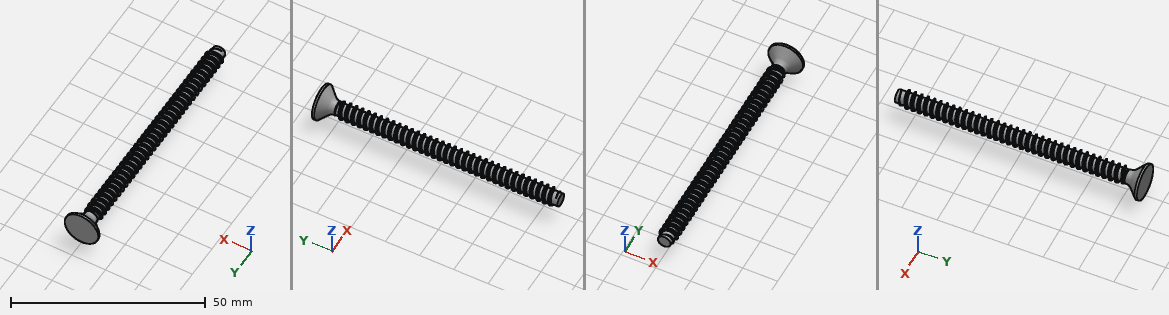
import cadquery as cq
import math

LENGTH = 70.0
HEAD_RADIUS = 10.0 / 2
RIM_HEIGHT = 0.7
COUNTERSINK_ANGLE = math.radians(45)
NECK_RADIUS = 1.95
NECK_FILLET = 1.9
NECK_END = 4.9
STEP_LENGTH = 0.2
CORE_RADIUS = 1.8

PITCH = 63.0 / 35
THREAD_RADIUS = 5.0 / 2
FOOT_WIDTH = 0.9
FOOT_HEIGHT = 0.175
RIDGE_WIDTH = 0.35
CREST_WIDTH = 0.15
ROOT_OVERLAP = 0.1
FULL_TURNS = 34 + 1 / 4
FADE_TURNS = 0.85
THREAD_START = 6.1
START_ANGLE = 90.0
THREAD_DEPTH = THREAD_RADIUS - CORE_RADIUS


def screw_blank():
    """Head, filleted neck and plain core, turned around Z."""
    neck_start = RIM_HEIGHT + (HEAD_RADIUS - NECK_RADIUS) / math.tan(COUNTERSINK_ANGLE)
    outline = (
        cq.Workplane("XZ")
        .lineTo(HEAD_RADIUS, 0)
        .lineTo(HEAD_RADIUS, RIM_HEIGHT)
        .lineTo(NECK_RADIUS, neck_start)
        .lineTo(NECK_RADIUS, NECK_END)
        .lineTo(CORE_RADIUS, NECK_END + STEP_LENGTH)
        .lineTo(CORE_RADIUS, LENGTH)
        .lineTo(0, LENGTH)
        .close()
    )
    blank = outline.revolve(360, (0, 0, 0), (0, 1, 0))
    neck_corner = cq.selectors.NearestToPointSelector((0, 0, neck_start))
    return blank.edges(neck_corner).fillet(NECK_FILLET)


def thread_profile():
    """Thread cross-section in the plane through the axis."""
    foot = CORE_RADIUS + FOOT_HEIGHT
    root = CORE_RADIUS - ROOT_OVERLAP
    root_width = FOOT_WIDTH + (FOOT_WIDTH - RIDGE_WIDTH) * ROOT_OVERLAP / FOOT_HEIGHT
    half_profile = [(root, root_width / 2), (foot, RIDGE_WIDTH / 2), (THREAD_RADIUS, CREST_WIDTH / 2)]
    mirrored = [(radius, -height) for radius, height in reversed(half_profile)]
    return cq.Workplane("XZ").polyline(half_profile + mirrored).close()


def sweep_thread(path):
    return thread_profile().sweep(cq.Workplane(path), isFrenet=True)


def full_thread():
    path = cq.Wire.makeHelix(PITCH, PITCH * FULL_TURNS, CORE_RADIUS)
    return sweep_thread(path)


def fading_end(cone_angle):
    """Thread end whose crest sinks to the core surface along a conical helix."""
    slant = PITCH / math.cos(math.radians(cone_angle))
    path = cq.Wire.makeHelix(slant, slant * FADE_TURNS, CORE_RADIUS, angle=cone_angle)
    return sweep_thread(path)


def twist_and_lift(section, twist, lift):
    return section.rotate((0, 0, 0), (0, 0, 1), twist).translate((0, 0, lift))


def thread_sections():
    """Right-handed thread in three lengths: run-in, full depth, run-out."""
    fade_angle = math.degrees(math.atan2(THREAD_DEPTH, PITCH * FADE_TURNS))
    run_out = fading_end(-fade_angle)
    run_in = run_out.rotate((0, 0, 0), (1, 0, 0), 180)
    run_out = twist_and_lift(run_out, 360 * FULL_TURNS, PITCH * FULL_TURNS)
    sections = [run_in, full_thread(), run_out]
    return [twist_and_lift(section, START_ANGLE, THREAD_START) for section in sections]


screw = screw_blank()
for section in thread_sections():
    screw = screw.union(section)
result = screw.rotate((0, 0, 0), (1, 0, 0), 90).solids()